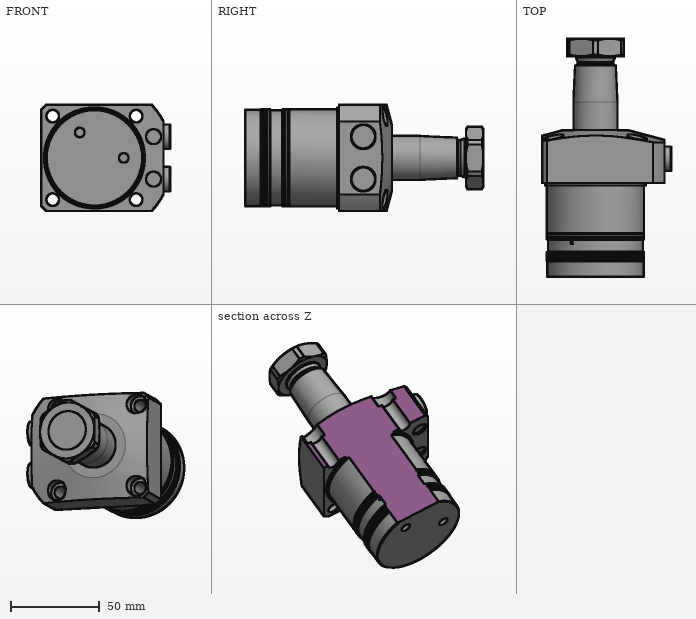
import cadquery as cq
import math


flange_half = 30.0
flange_thickness = 30.0
flange_right = 39.0
corner_chamfer = 2.8
right_corner_radius = 44.1
crown_flat_radius = 18.3
crown_angle = 15.0
bolt_spacing = 47.1
bolt_hole_radius = 3.5
counterbore_radius = 5.5
counterbore_floor = 18.8

port_offset = 12.0
port_x = 33.4
port_diameter = 8.5
port_depth = 1.1

barrel_length = 53.0
barrel_diameter = 55.0
barrel_radius = barrel_diameter / 2
collar_radius = 28.5
collar_height = 1.2
waist_radius = 26.9
waist_top = -32.0
waist_bottom = -38.6
step_bevel = 0.4
tail_radius = 27.3
tail_top = -44.1
tail_chamfer = 0.4
groove_depth = 0.3
groove_width = 0.8
v_groove_places = (-28.4, -30.5, -42.5)
round_groove_y = -40.6

feed_hole_radius = 2.7
feed_hole_circle = 16.5
feed_hole_depth = 20.7
feed_hole_angles = (0.0, 120.0)
cross_hole_radius = 0.7
cross_hole_y = -33.8
cross_hole_angle = 120.0

rod_radius = 12.5
taper_start = 45.7
taper_end = 66.5
taper_end_radius = 11.5
taper_lip_radius = 10.9
relief_radius = 10.1
relief_start = 67.2
relief_end = 68.5
thread_start = 70.9
thread_radius = 11.0

nut_across_flats = 32.0
nut_turned_diameter = 35.4
nut_turned_radius = nut_turned_diameter / 2
nut_thickness = 10.0
nut_top = 81.5
nut_bottom = nut_top - nut_thickness
nut_chamfer_angle = 30.0
half_corner_angle = 30.0
nut_face_radius = nut_across_flats / 2

plug_radius = 7.0
plug_length = 3.8
plug_y = 13.7
plug_chamfer = 0.4


def turned(points):
    """Solid of revolution about the Y axis from (radius, y) points."""
    return cq.Workplane("XY").polyline(points).close().revolve(360, (0, 0, 0), (0, 1, 0))


def along_y(y_start):
    """Workplane at a given Y, looking along +Y, with local x = X and local y = -Z."""
    return cq.Workplane("XZ", origin=(0, y_start, 0)).transformed(rotate=(180, 0, 0))


def make_flange():
    width = flange_half + flange_right
    block = (
        cq.Workplane("XY")
        .box(width, flange_thickness, 2 * flange_half, centered=(False, False, True))
        .translate((-flange_half, 0, 0))
        .edges("|Y and <X")
        .chamfer(corner_chamfer)
    )
    crown_drop = (right_corner_radius - crown_flat_radius) * math.tan(math.radians(crown_angle))
    envelope = turned([
        (0, 0),
        (right_corner_radius, 0),
        (right_corner_radius, flange_thickness - crown_drop),
        (crown_flat_radius, flange_thickness),
        (0, flange_thickness),
    ])
    bolt_holes = (
        along_y(0)
        .rect(bolt_spacing, bolt_spacing, forConstruction=True)
        .vertices()
        .circle(bolt_hole_radius)
        .extrude(flange_thickness)
    )
    counterbores = (
        along_y(counterbore_floor)
        .rect(bolt_spacing, bolt_spacing, forConstruction=True)
        .vertices()
        .circle(counterbore_radius)
        .extrude(flange_thickness - counterbore_floor)
    )
    ports = (
        along_y(0)
        .pushPoints([(port_x, -port_offset), (port_x, port_offset)])
        .circle(port_diameter / 2)
        .extrude(port_depth)
    )
    return block.intersect(envelope).cut(bolt_holes).cut(counterbores).cut(ports)


def make_v_groove(y):
    return turned([
        (barrel_radius, y - groove_width / 2),
        (barrel_radius - groove_depth, y),
        (barrel_radius, y + groove_width / 2),
    ])


def make_round_groove():
    low = round_groove_y - groove_width / 2
    high = round_groove_y + groove_width / 2
    return (
        cq.Workplane("XY")
        .moveTo(barrel_radius, low)
        .threePointArc((barrel_radius - groove_depth, round_groove_y), (barrel_radius, high))
        .close()
        .revolve(360, (0, 0, 0), (0, 1, 0))
    )


def make_barrel():
    barrel = turned([
        (0, 0),
        (collar_radius, 0),
        (collar_radius, -collar_height),
        (barrel_radius, -collar_height),
        (barrel_radius, waist_top + step_bevel),
        (waist_radius, waist_top),
        (waist_radius, waist_bottom),
        (barrel_radius, waist_bottom - step_bevel),
        (barrel_radius, tail_top + step_bevel),
        (tail_radius, tail_top),
        (tail_radius, tail_chamfer - barrel_length),
        (tail_radius - tail_chamfer, -barrel_length),
        (0, -barrel_length),
    ])
    for y in v_groove_places:
        barrel = barrel.cut(make_v_groove(y))
    barrel = barrel.cut(make_round_groove())
    for angle in feed_hole_angles:
        x = feed_hole_circle * math.cos(math.radians(angle))
        z = feed_hole_circle * math.sin(math.radians(angle))
        feed_hole = (
            along_y(-barrel_length).center(x, -z).circle(feed_hole_radius).extrude(feed_hole_depth)
        )
        barrel = barrel.cut(feed_hole)
    return barrel.cut(make_cross_hole())


def make_cross_hole():
    """Radial drilling from one feed hole out to the waist."""
    direction = cq.Vector(
        math.cos(math.radians(cross_hole_angle)), 0, math.sin(math.radians(cross_hole_angle))
    )
    start = direction * feed_hole_circle + cq.Vector(0, cross_hole_y, 0)
    length = barrel_radius - feed_hole_circle
    return cq.Workplane(cq.Solid.makeCylinder(cross_hole_radius, length, start, direction))


def make_housing():
    return make_flange().union(make_barrel())


def make_rod():
    """Tapered rod that stands on the crown and ends in the thread that carries the nut."""
    return turned([
        (0, flange_thickness),
        (rod_radius, flange_thickness),
        (rod_radius, taper_start),
        (taper_end_radius, taper_end),
        (taper_lip_radius, taper_end),
        (relief_radius, relief_start),
        (relief_radius, relief_end),
        (thread_radius, thread_start),
        (thread_radius, nut_top),
        (0, nut_top),
    ])


def make_nut():
    """Hexagon nut with flats facing +X and -X, turned corners and both faces chamfered."""
    across_corners = nut_across_flats / math.cos(math.radians(half_corner_angle))
    hexagon = (
        along_y(nut_bottom)
        .transformed(rotate=(0, 0, half_corner_angle))
        .polygon(6, across_corners)
        .extrude(nut_thickness)
    )
    chamfer_drop = (nut_turned_radius - nut_face_radius) * math.tan(math.radians(nut_chamfer_angle))
    envelope = turned([
        (thread_radius, nut_bottom),
        (nut_face_radius, nut_bottom),
        (nut_turned_radius, nut_bottom + chamfer_drop),
        (nut_turned_radius, nut_top - chamfer_drop),
        (nut_face_radius, nut_top),
        (thread_radius, nut_top),
    ])
    return hexagon.intersect(envelope)


def make_plug(z):
    """Round plug standing on the +X side of the flange."""
    return (
        cq.Workplane("YZ", origin=(flange_right, plug_y, z))
        .circle(plug_radius)
        .extrude(plug_length)
        .faces(">X")
        .edges()
        .chamfer(plug_chamfer)
    )


housing = make_housing()
rod = make_rod()
nut = make_nut()
plugs = [make_plug(z) for z in (-port_offset, port_offset)]

result = cq.Compound.makeCompound([
    housing.val(),
    rod.val(),
    nut.val(),
    *[plug.val() for plug in plugs],
])